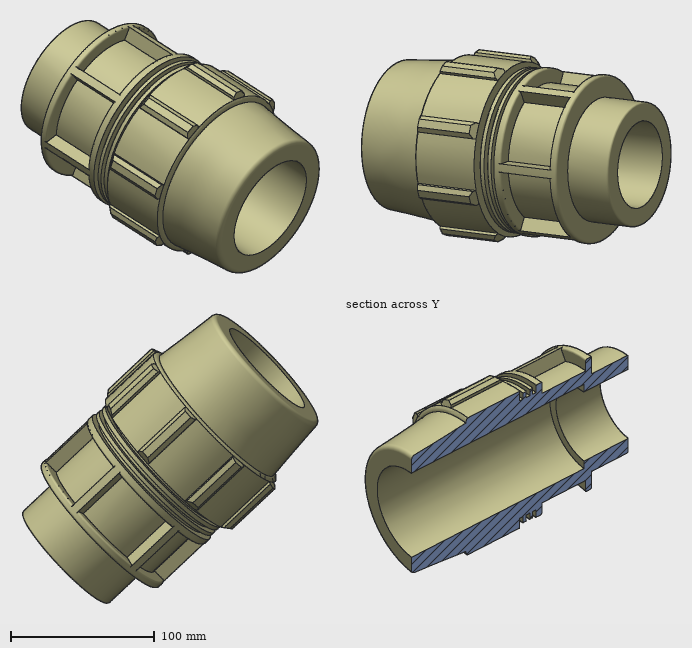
import cadquery as cq
import math

length = 196.0

bore_d = 61.5
socket_d = 75.0
socket_start = 40.0

spigot_d = 87.8
spigot_round = 1.4

grip_d = 118.8
grip_start = 32.7
grip_end = 83.5
grip_round = 1.8

pocket_floor_d = 98.4
pocket_start = 38.6
pocket_end = 77.8
pocket_edge_round = 1.47
web_count = 6
web_width = 6.0

neck_d = 105.6
ring_d = 116.5
ring_spans = [(86.5, 89.2), (92.1, 95.3)]

nut_d = 123.0
nut_start = 98.2
nut_end = 147.0
nut_edge_length = 1.8
nose_root_d = 115.5
nose_tip_d = 105.3
nose_round = 3.3
nut_edge_drop = (nut_d - nose_root_d) / 2

bar_count = 8
bar_top_radius = 66.0
bar_shoulder_radius = 63.3
bar_shoulder_half_width = 5.9
bar_root_half_width = 5.3
bar_top_half_width = 3.0
bar_front_slope = 3.7
bar_back_slope = 1.5


def frustum(start, end, start_d, end_d):
    """Solid round section along X whose diameter changes evenly."""
    outline = [(start, 0), (start, start_d / 2), (end, end_d / 2), (end, 0)]
    return cq.Workplane("XY").polyline(outline).close().revolve(360, (0, 0, 0), (1, 0, 0))


def cylinder(start, end, diameter):
    return frustum(start, end, diameter, diameter)


def make_spigot():
    spigot = cylinder(0, grip_start, spigot_d)
    return spigot.faces("<X").edges().fillet(spigot_round)


def make_grip():
    grip = cylinder(grip_start, grip_end, grip_d)
    grip = grip.faces("<X").edges().fillet(grip_round)
    return grip.cut(make_pockets())


def make_pockets():
    """Ring-shaped cutter with flared rounded rims, interrupted by the webs."""
    floor_r = pocket_floor_d / 2
    rim_r = grip_d / 2
    clear_r = rim_r + 2
    bend = pocket_edge_round * (1 - math.sqrt(0.5))
    ring = (
        cq.Workplane("XY")
        .moveTo(pocket_start, floor_r)
        .lineTo(pocket_start, rim_r - pocket_edge_round)
        .threePointArc(
            (pocket_start - bend, rim_r - bend),
            (pocket_start - pocket_edge_round, rim_r),
        )
        .lineTo(pocket_start - pocket_edge_round, clear_r)
        .lineTo(pocket_end + pocket_edge_round, clear_r)
        .lineTo(pocket_end + pocket_edge_round, rim_r)
        .threePointArc(
            (pocket_end + bend, rim_r - bend),
            (pocket_end, rim_r - pocket_edge_round),
        )
        .lineTo(pocket_end, floor_r)
        .close()
        .revolve(360, (0, 0, 0), (1, 0, 0))
    )
    web_length = grip_end - grip_start
    web_middle = (grip_start + grip_end) / 2
    for i in range(web_count // 2):
        slab = cq.Workplane("XY").box(web_length, 2 * clear_r + 2, web_width)
        slab = slab.rotate((0, 0, 0), (1, 0, 0), i * 360 / web_count)
        ring = ring.cut(slab.translate((web_middle, 0, 0)))
    return ring


def make_neck():
    neck = cylinder(grip_end, nut_start, neck_d)
    for ring_start, ring_end in ring_spans:
        neck = neck.union(cylinder(ring_start, ring_end, ring_d))
    return neck


def make_nut():
    nut_r = nut_d / 2
    edge_radius = (nut_edge_length**2 + nut_edge_drop**2) / (2 * nut_edge_length)
    nut = (
        cq.Workplane("XY")
        .moveTo(nut_start, 0)
        .lineTo(nut_start, nut_r)
        .lineTo(nut_end - nut_edge_length, nut_r)
        .radiusArc((nut_end, nut_r - nut_edge_drop), edge_radius)
        .lineTo(nut_end, 0)
        .close()
        .revolve(360, (0, 0, 0), (1, 0, 0))
    )
    nose = frustum(nut_end, length, nose_root_d, nose_tip_d)
    nose = nose.faces(">X").edges().fillet(nose_round)
    nut = nut.union(nose)
    bar = make_bar()
    for i in range(bar_count):
        angle = (i + 0.5) * 360 / bar_count
        nut = nut.union(bar.rotate((0, 0, 0), (1, 0, 0), angle))
    return nut


def make_bar():
    """One grip bar on the +Z side: chamfered cross-section with sloping ends."""
    nut_r = nut_d / 2
    root = nut_r - 2
    section = (
        cq.Workplane("YZ", origin=(nut_start, 0, 0))
        .polyline([
            (-bar_root_half_width, root),
            (-bar_shoulder_half_width, bar_shoulder_radius),
            (-bar_top_half_width, bar_top_radius),
            (bar_top_half_width, bar_top_radius),
            (bar_shoulder_half_width, bar_shoulder_radius),
            (bar_root_half_width, root),
        ])
        .close()
        .extrude(nut_end - nut_start)
    )
    back_end = nut_end - nut_edge_length
    side = (
        cq.Workplane("XZ")
        .polyline([
            (nut_start, root),
            (nut_start, nut_r),
            (nut_start + bar_front_slope, bar_top_radius),
            (back_end - bar_back_slope, bar_top_radius),
            (back_end, nut_r),
            (back_end, root),
        ])
        .close()
        .extrude(bar_shoulder_half_width, both=True)
    )
    return section.intersect(side)


def make_bore():
    return cylinder(0, length, bore_d).union(cylinder(socket_start, length, socket_d))


result = make_spigot().union(make_grip()).union(make_neck()).union(make_nut()).cut(make_bore())